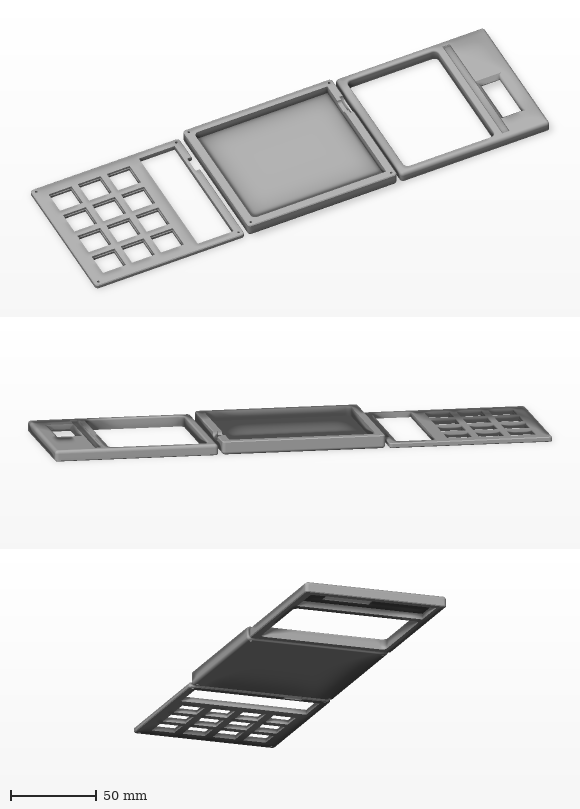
import cadquery as cq
KEY_PITCH = 19.05
KEY_COLUMNS = 4
KEY_ROWS = 3
KEY_MARGIN = 1.0
WALL = 5.0
INNER_WIDTH = KEY_COLUMNS * KEY_PITCH + 2 * KEY_MARGIN
KEYPAD_DEPTH = KEY_ROWS * KEY_PITCH + 2 * KEY_MARGIN
WIDTH = INNER_WIDTH + 2 * WALL
LENGTH = 97.55
BODY_GAP = 2.5
BODY_PITCH = LENGTH + BODY_GAP
CORNER_RADIUS = 2.0
COVER_FILLET = 2.0
CASE_FILLET = 1.75
SEAM_CHAMFER = 0.5

COVER_HEIGHT = 6.5
CASE_HEIGHT = 8.0
PLATE_HEIGHT = 3.0

SCREW_INSET = 2.8
SCREW_HOLE = 1.55
SCREW_X = WIDTH / 2 - SCREW_INSET
SCREW_Y = LENGTH / 2 - SCREW_INSET

WINDOW_DEPTH = 23.5
WINDOW_Y = LENGTH / 2 - WALL - WINDOW_DEPTH / 2

KEY_HOLE = 14.0
KEY_RECESS = 15.0
KEY_RECESS_DEPTH = 1.5
CROSSBAR = 4.5
KEYPAD_Y = LENGTH / 2 - WALL - WINDOW_DEPTH - CROSSBAR - KEYPAD_DEPTH / 2

PORT_X = -21.0
PORT_WIDTH = 9.5
PORT_HEIGHT = 3.5
PLUG_WIDTH = 14.5
PLUG_HEIGHT = 7.5
PLUG_DEPTH = 2.5
NOTCH_WIDTH = 11.2
NOTCH_DEPTH = 3.0

FLOOR = 2.5
POCKET_RADIUS = 3.0

OPENING_Y = -LENGTH / 2 + WALL + KEYPAD_DEPTH / 2
OPENING_RADIUS = 3.0
OPENING_FILLET = 1.0
PANEL_THICKNESS = 3.0
DISPLAY_X = 11.4
DISPLAY_WIDTH = 34.0
DISPLAY_INSET = 7.3
DISPLAY_BEVEL = 2.5
GROOVE_WIDTH = 79.6
GROOVE_INSET = 24.5
GROOVE_LENGTH = 4.8
GROOVE_DEPTH = 1.0
GROOVE_BEVEL = 0.8


def block(width, length, height):
    return cq.Workplane("XY").box(width, length, height, centered=(True, True, False))


def rounded_blank(height):
    return block(WIDTH, LENGTH, height).edges("|Z").fillet(CORNER_RADIUS)


def screw_holes(height):
    return (
        cq.Workplane("XY")
        .rect(2 * SCREW_X, 2 * SCREW_Y, forConstruction=True)
        .vertices()
        .circle(SCREW_HOLE / 2)
        .extrude(height)
    )


def key_squares(size, bottom, height):
    return (
        cq.Workplane("XY", origin=(0, KEYPAD_Y, bottom))
        .rarray(KEY_PITCH, KEY_PITCH, KEY_COLUMNS, KEY_ROWS)
        .rect(size, size)
        .extrude(height)
    )


def port_slot(width, height, depth):
    """Stadium slot through the +Y wall, centred on the case's top face so it is open above."""
    return (
        cq.Workplane("XZ", origin=(PORT_X, LENGTH / 2, CASE_HEIGHT))
        .slot2D(width, height)
        .extrude(depth)
    )


def key_opening():
    """Opening over the keys, flared at the top by a rounded rim."""
    return (
        block(INNER_WIDTH, KEYPAD_DEPTH, COVER_HEIGHT)
        .edges("|Z")
        .fillet(OPENING_RADIUS)
        .translate((0, OPENING_Y, 0))
    )


def opening_rim():
    """Selects the top edges of the key opening."""
    half_width = INNER_WIDTH / 2 + KEY_MARGIN
    half_depth = KEYPAD_DEPTH / 2 + KEY_MARGIN
    return cq.selectors.BoxSelector(
        (-half_width, OPENING_Y - half_depth, COVER_HEIGHT - OPENING_FILLET / 2),
        (half_width, OPENING_Y + half_depth, COVER_HEIGHT + OPENING_FILLET / 2),
    )


def display_window():
    """Window with bevelled sides and a rounded far edge, as two crossed prisms."""
    far_y = LENGTH / 2 - DISPLAY_INSET
    near_y = LENGTH / 2 - GROOVE_INSET
    left = DISPLAY_X - DISPLAY_WIDTH / 2
    right = DISPLAY_X + DISPLAY_WIDTH / 2
    rim_z = COVER_HEIGHT - DISPLAY_BEVEL
    across = (
        cq.Workplane("XZ", origin=(0, far_y, 0))
        .moveTo(left + DISPLAY_BEVEL, 0)
        .lineTo(left + DISPLAY_BEVEL, rim_z)
        .lineTo(left, COVER_HEIGHT)
        .lineTo(right, COVER_HEIGHT)
        .lineTo(right - DISPLAY_BEVEL, rim_z)
        .lineTo(right - DISPLAY_BEVEL, 0)
        .close()
        .extrude(far_y - near_y)
    )
    along = (
        cq.Workplane("YZ", origin=(left, 0, 0))
        .moveTo(near_y + DISPLAY_BEVEL, 0)
        .lineTo(near_y + DISPLAY_BEVEL, rim_z)
        .lineTo(near_y, COVER_HEIGHT)
        .lineTo(far_y, COVER_HEIGHT)
        .radiusArc((far_y - DISPLAY_BEVEL, rim_z), -DISPLAY_BEVEL)
        .lineTo(far_y - DISPLAY_BEVEL, 0)
        .close()
        .extrude(DISPLAY_WIDTH)
    )
    return across.intersect(along)


def groove():
    """Shallow groove across the cover, bevelled at its ends and near side."""
    far_y = LENGTH / 2 - GROOVE_INSET
    bed = block(GROOVE_WIDTH, GROOVE_LENGTH, GROOVE_DEPTH).translate(
        (0, far_y - GROOVE_LENGTH / 2, COVER_HEIGHT - GROOVE_DEPTH)
    )
    return bed.faces("<Z").edges("|Y or <Y").chamfer(GROOVE_BEVEL)


def make_cover():
    body = rounded_blank(COVER_HEIGHT).faces(">Z").edges().fillet(COVER_FILLET)
    body = body.faces("<Z").edges().chamfer(SEAM_CHAMFER)
    body = body.cut(key_opening())
    body = body.edges(opening_rim()).fillet(OPENING_FILLET)
    hollow = block(INNER_WIDTH, WINDOW_DEPTH, COVER_HEIGHT - PANEL_THICKNESS)
    body = body.cut(hollow.translate((0, WINDOW_Y, 0)))
    return body.cut(display_window()).cut(groove())


def make_case():
    body = rounded_blank(CASE_HEIGHT).faces("<Z").edges().fillet(CASE_FILLET)
    body = body.faces(">Z").edges().chamfer(SEAM_CHAMFER)
    pocket = (
        block(INNER_WIDTH, LENGTH - 2 * WALL, CASE_HEIGHT - FLOOR)
        .edges("|Z and <Y")
        .fillet(POCKET_RADIUS)
        .translate((0, 0, FLOOR))
    )
    body = body.cut(pocket).cut(screw_holes(CASE_HEIGHT))
    body = body.cut(port_slot(PORT_WIDTH, PORT_HEIGHT, WALL))
    return body.cut(port_slot(PLUG_WIDTH, PLUG_HEIGHT, PLUG_DEPTH))


def make_plate():
    body = rounded_blank(PLATE_HEIGHT).faces("<Z or >Z").edges().chamfer(SEAM_CHAMFER)
    window = block(INNER_WIDTH, WINDOW_DEPTH, PLATE_HEIGHT).translate((0, WINDOW_Y, 0))
    notch = block(NOTCH_WIDTH, 2 * NOTCH_DEPTH, PLATE_HEIGHT).translate((PORT_X, LENGTH / 2, 0))
    body = body.cut(window).cut(notch).cut(screw_holes(PLATE_HEIGHT))
    body = body.cut(key_squares(KEY_HOLE, 0, PLATE_HEIGHT))
    return body.cut(key_squares(KEY_RECESS, PLATE_HEIGHT - KEY_RECESS_DEPTH, KEY_RECESS_DEPTH))


cover = make_cover().translate((0, BODY_PITCH, 0))
case = make_case()
plate = make_plate().translate((0, -BODY_PITCH, 0))

result = cq.Compound.makeCompound([cover.val(), case.val(), plate.val()])